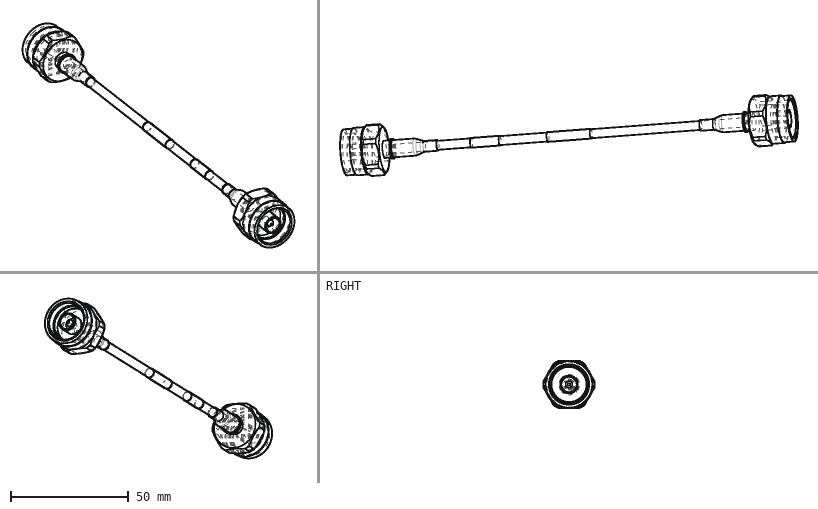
import cadquery as cq


total_length = 195.5
half_length = total_length / 2

nose_radius = 9.87
nose_length = 4.3
barrel_radius = 10.2
hex_start = 9.2
hex_end = 17.0
hex_across_flats = 20.0
hex_corner_radius = 11.0
hex_end_radius = 9.5
hex_chamfer_length = 1.2
hex_turn = 28.0
neck_radius = 3.7
collar_start = 20.1
collar_radius = 4.3
connector_length = 21.0

mouth_radius = 8.6
thread_radius = 8.0
thread_depth = 4.7
mouth_chamfer = mouth_radius - thread_radius
bore_radius = 7.5
socket_depth = 7.8
tube_outer_radius = 3.81
tube_inner_radius = 3.23
tube_recess = 1.4
pin_radius = 1.47
pin_tip_radius = 0.5
pin_recess = 2.2
pin_tip_length = 1.5

boot_radius = 3.7
boot_shoulder_radius = 3.42
boot_waist_radius = 2.7
boot_tail_radius = 2.3
boot_taper_start = 30.3
boot_shoulder = 31.5
boot_waist = 33.2
boot_tail_start = 34.4
boot_end = 40.3

cable_radius = 2.0
sleeve_radius = 2.2
sleeves = ((-0.1, 19.0), (36.5, 12.5))


def revolve_about_x(outline):
    """Solid swept by a closed outline of (x, radius) points turning about the X axis."""
    return cq.Workplane("XY").polyline(outline).close().revolve(360, (0, 0, 0), (1, 0, 0))


def rod(start, end, radius):
    """Cylinder along X between two positions."""
    return cq.Workplane("YZ").workplane(offset=start).circle(radius).extrude(end - start)


def hexagon():
    """Hexagon with its corners turned round and chamfered at both ends."""
    prism = (
        cq.Workplane("YZ")
        .workplane(offset=hex_start)
        .polygon(6, hex_across_flats, circumscribed=True)
        .extrude(hex_end - hex_start)
        .rotate((0, 0, 0), (1, 0, 0), hex_turn)
    )
    turned_envelope = revolve_about_x(
        [
            (hex_start, 0),
            (hex_start, hex_end_radius),
            (hex_start + hex_chamfer_length, hex_corner_radius),
            (hex_end - hex_chamfer_length, hex_corner_radius),
            (hex_end, hex_end_radius),
            (hex_end, 0),
        ]
    )
    return prism.intersect(turned_envelope)


def socket():
    """Void inside the connector's front, leaving the contact tube and the pin standing."""
    void = revolve_about_x(
        [
            (0, 0),
            (0, mouth_radius),
            (mouth_chamfer, thread_radius),
            (thread_depth, thread_radius),
            (thread_depth, bore_radius),
            (socket_depth, bore_radius),
            (socket_depth, 0),
        ]
    )
    tube = rod(tube_recess, socket_depth, tube_outer_radius).cut(
        rod(tube_recess, socket_depth, tube_inner_radius)
    )
    pin = revolve_about_x(
        [
            (pin_recess, 0),
            (pin_recess, pin_tip_radius),
            (pin_recess + pin_tip_length, pin_radius),
            (socket_depth, pin_radius),
            (socket_depth, 0),
        ]
    )
    return void.cut(tube).cut(pin)


def connector():
    """Connector with its open front face at X = 0, pointing toward -X."""
    return (
        rod(0, nose_length, nose_radius)
        .union(rod(nose_length, hex_start, barrel_radius))
        .union(hexagon())
        .union(rod(hex_end, collar_start, neck_radius))
        .union(rod(collar_start, connector_length, collar_radius))
        .cut(socket())
    )


def boot():
    """Stepped sleeve from the connector's collar down to the cable, bored for the cable."""
    return revolve_about_x(
        [
            (connector_length, cable_radius),
            (connector_length, boot_radius),
            (boot_taper_start, boot_radius),
            (boot_shoulder, boot_shoulder_radius),
            (boot_waist, boot_waist_radius),
            (boot_tail_start, boot_tail_radius),
            (boot_end, boot_tail_radius),
            (boot_end, cable_radius),
        ]
    )


def at_both_ends(body):
    """Two copies of a body: one at the -X end and one turned half round Z at the +X end."""
    left = body.translate((-half_length, 0, 0))
    right = left.rotate((0, 0, 0), (0, 0, 1), 180)
    return [left.val(), right.val()]


def cable():
    """Cable running through both boots and butting against both connectors."""
    half_cable = half_length - connector_length
    return rod(-half_cable, half_cable, cable_radius)


def marker_sleeve(center, length):
    """Thin sleeve around the cable."""
    start = center - length / 2
    end = center + length / 2
    return rod(start, end, sleeve_radius).cut(rod(start, end, cable_radius))


connectors = at_both_ends(connector())
boots = at_both_ends(boot())
marker_sleeves = [marker_sleeve(center, length).val() for center, length in sleeves]

result = cq.Compound.makeCompound([*connectors, *boots, cable().val(), *marker_sleeves])